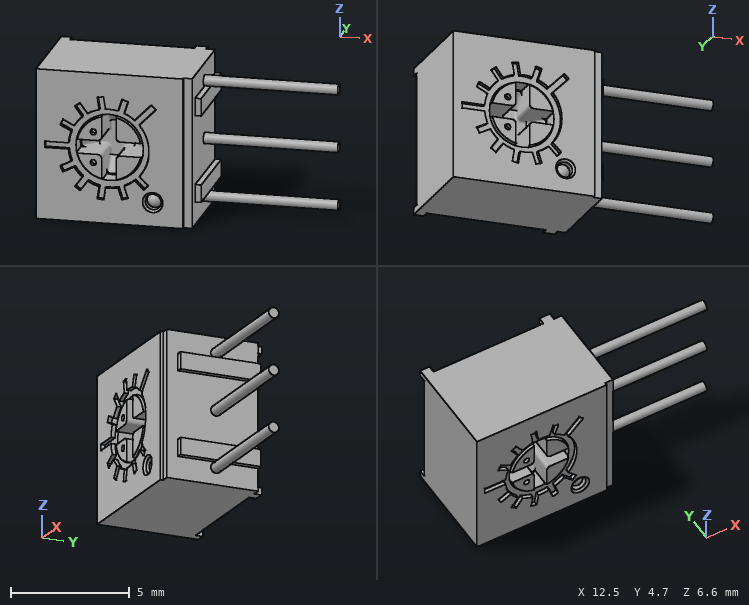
import cadquery as cq
import math

OVERALL_LENGTH = 12.52
HOUSING_LENGTH = 6.72
HOUSING_DEPTH = 4.36
HOUSING_HEIGHT = 6.6
MID_HEIGHT = HOUSING_HEIGHT / 2

STEP_LENGTH = 0.38
STEP_DEPTH = 0.13
STEP_START = HOUSING_LENGTH - STEP_LENGTH

FOOT_HEIGHT = 0.33
FOOT_PROJECTION = 0.34
LEFT_FOOT_LENGTH = 0.46
RIGHT_FOOT_LENGTH = 0.53

RIB_PROJECTION = 0.26
RIB_WIDTH = 0.76
RIB_OFFSET = 1.9
RIB_FRONT = 0.64

LEAD_DIAMETER = 0.48
LEAD_PITCH = 2.54
LEAD_Y = 2.4

DIAL_X = 3.14
DIAL_RADIUS = 1.74
DIAL_DEPTH = 0.19
TICK_WIDTH = 0.28
TICK_COUNT = 11
TICK_FIRST_ANGLE = 45
TICK_STEP_ANGLE = 27
SHORT_TICK_RADIUS = 2.28
LONG_TICK_RADIUS = 2.75
LONG_TICKS = (0, 5)

ROTOR_FACE_RADIUS = 1.4
ROTOR_BASE_RADIUS = 1.45
ROTOR_SINK = 0.06

SLOT_WIDTH = 0.61
SLOT_END_DEPTH = 1.0
RAMP_OUTER_RADIUS = 1.39
RAMP_INNER_RADIUS = 0.76
RAMP_ANGLE = 45
SLOT_DEPTH = SLOT_END_DEPTH + (RAMP_OUTER_RADIUS - RAMP_INNER_RADIUS) * math.tan(math.radians(RAMP_ANGLE))
SLOT_CORNER_RADIUS = 0.19
SLOT_FLOOR_FILLET = 0.11

DIMPLE_OFFSET = 0.68
DIMPLE_RADIUS = 0.13
DIMPLE_DEPTH = 0.25

PIT_X = 5.05
PIT_Z = 1.06
PIT_RADIUS = 0.34
PIT_CHAMFER = 0.1
PIT_DEPTH = 0.46

TOLERANCE = 0.01


def box(x_range, y_range, z_range):
    """Axis-aligned block between the given limits."""
    size = [high - low for low, high in (x_range, y_range, z_range)]
    corner = (x_range[0], y_range[0], z_range[0])
    return cq.Workplane("XY").box(*size, centered=False).translate(corner)


def face_cylinder(x, z, radius, depth):
    """Cylinder going into the housing from the dial face."""
    return cq.Workplane("XZ", origin=(x, 0, z)).circle(radius).extrude(-depth)


def make_block():
    """Stepped housing block with its feet and standoff ribs."""
    block = box((0, HOUSING_LENGTH), (0, HOUSING_DEPTH), (0, HOUSING_HEIGHT))
    step = box((STEP_START, HOUSING_LENGTH), (0, STEP_DEPTH), (0, HOUSING_HEIGHT))
    block = block.cut(step)

    back = (HOUSING_DEPTH, HOUSING_DEPTH + FOOT_PROJECTION)
    for x_range in ((0, LEFT_FOOT_LENGTH), (STEP_START - RIGHT_FOOT_LENGTH, STEP_START)):
        for z_low in (0, HOUSING_HEIGHT - FOOT_HEIGHT):
            block = block.union(box(x_range, back, (z_low, z_low + FOOT_HEIGHT)))

    rib_x = (HOUSING_LENGTH, HOUSING_LENGTH + RIB_PROJECTION)
    for side in (-1, 1):
        rib_low = MID_HEIGHT + side * RIB_OFFSET - RIB_WIDTH / 2
        block = block.union(box(rib_x, (RIB_FRONT, HOUSING_DEPTH), (rib_low, rib_low + RIB_WIDTH)))
    return block


def make_dial_recess():
    """Cutter for the round recess and its ticks, leaving the rotor head standing."""
    recess = face_cylinder(DIAL_X, MID_HEIGHT, DIAL_RADIUS, DIAL_DEPTH)
    for index in range(TICK_COUNT):
        tip = LONG_TICK_RADIUS if index in LONG_TICKS else SHORT_TICK_RADIUS
        angle = TICK_FIRST_ANGLE + index * TICK_STEP_ANGLE
        tick = box((0, tip), (0, DIAL_DEPTH), (-TICK_WIDTH / 2, TICK_WIDTH / 2))
        tick = tick.rotate((0, 0, 0), (0, -1, 0), angle)
        recess = recess.union(tick.translate((DIAL_X, 0, MID_HEIGHT)))
    return recess.cut(make_rotor_head())


def make_rotor_head():
    """Tapered disc rising from the recess floor toward the dial face."""
    base = (DIAL_X, DIAL_DEPTH, MID_HEIGHT)
    height = DIAL_DEPTH - ROTOR_SINK
    toward_face = (0, -1, 0)
    disc = cq.Solid.makeCone(ROTOR_BASE_RADIUS, ROTOR_FACE_RADIUS, height, pnt=base, dir=toward_face)
    return cq.Workplane(disc)


def inner_corner_selector():
    """Selects the four long edges where the walls of neighbouring arms meet."""
    reach = SLOT_WIDTH / 2 + TOLERANCE
    return cq.selectors.BoxSelector((-reach, TOLERANCE, -reach), (reach, SLOT_DEPTH - TOLERANCE, reach))


def is_floor_edge(edge):
    """True for the side edges of the flat floor and of the ramps."""
    center = edge.Center()
    across, along = sorted((abs(center.x), abs(center.z)))
    below_mouth = edge.BoundingBox().ymin > SLOT_END_DEPTH - TOLERANCE
    return below_mouth and across > SLOT_WIDTH / 2 - TOLERANCE and along < RAMP_OUTER_RADIUS


def make_cross_slot():
    """Cutter for the cross slot, with rounded inner corners and filleted floor sides."""
    side_profile = [
        (-ROTOR_BASE_RADIUS, 0),
        (ROTOR_BASE_RADIUS, 0),
        (ROTOR_BASE_RADIUS, SLOT_END_DEPTH),
        (RAMP_OUTER_RADIUS, SLOT_END_DEPTH),
        (RAMP_INNER_RADIUS, SLOT_DEPTH),
        (-RAMP_INNER_RADIUS, SLOT_DEPTH),
        (-RAMP_OUTER_RADIUS, SLOT_END_DEPTH),
        (-ROTOR_BASE_RADIUS, SLOT_END_DEPTH),
    ]
    arm = cq.Workplane("XY").polyline(side_profile).close().extrude(SLOT_WIDTH / 2, both=True)
    slot = arm.union(arm.rotate((0, 0, 0), (0, 1, 0), 90))
    slot = slot.intersect(face_cylinder(0, 0, ROTOR_BASE_RADIUS, SLOT_DEPTH))
    slot = slot.edges(inner_corner_selector()).fillet(SLOT_CORNER_RADIUS)
    floor_edges = [edge for edge in slot.edges().vals() if is_floor_edge(edge)]
    slot = slot.newObject(floor_edges).fillet(SLOT_FLOOR_FILLET)
    return slot.translate((DIAL_X, 0, MID_HEIGHT))


def make_dimples():
    """Cutters for the two blind holes in the rotor face."""
    dimples = cq.Workplane("XY")
    for side in (-1, 1):
        z = MID_HEIGHT + side * DIMPLE_OFFSET
        dimples = dimples.add(face_cylinder(DIAL_X - DIMPLE_OFFSET, z, DIMPLE_RADIUS, DIMPLE_DEPTH))
    return dimples.combine().translate((0, ROTOR_SINK, 0))


def make_pit():
    """Cutter for the chamfered bore, with the dome left standing on its floor."""
    profile = [
        (0, 0),
        (PIT_RADIUS + PIT_CHAMFER, 0),
        (PIT_RADIUS, PIT_CHAMFER),
        (PIT_RADIUS, PIT_DEPTH),
        (0, PIT_DEPTH),
    ]
    bore = cq.Workplane("XY").polyline(profile).close().revolve(360, (0, 0), (0, 1))
    dome = cq.Workplane("XY").sphere(PIT_RADIUS).translate((0, PIT_DEPTH, 0))
    return bore.cut(dome).translate((PIT_X, 0, PIT_Z))


def make_housing():
    """Complete housing, with the rotor head as part of it."""
    housing = make_block().cut(make_dial_recess())
    housing = housing.cut(make_cross_slot())
    housing = housing.cut(make_dimples())
    return housing.cut(make_pit())


def make_lead(z):
    """Round lead running from the lead end of the housing."""
    start = cq.Workplane("YZ", origin=(HOUSING_LENGTH, LEAD_Y, z))
    return start.circle(LEAD_DIAMETER / 2).extrude(OVERALL_LENGTH - HOUSING_LENGTH)


housing = make_housing()
leads = [make_lead(MID_HEIGHT + index * LEAD_PITCH) for index in (-1, 0, 1)]

result = cq.Compound.makeCompound([housing.val(), *[lead.val() for lead in leads]])